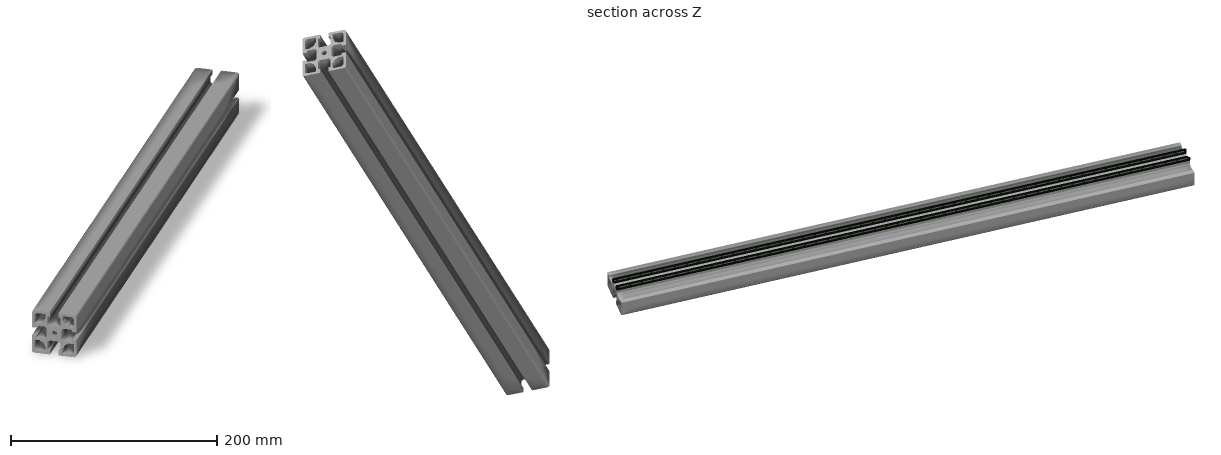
import cadquery as cq
import math

width = 45.0
length = 585.0
outer_corner_radius = 2.5

mouth_width = 8.7
lip_thickness = 4.6
channel_width = 13.1
core_width = 15.3
floor_chamfer = 1.6

skin_thickness = 2.5
channel_wall_thickness = 2.05
chamber_outer_radius = 3.4
neck_end = 14.0
chamber_inner_radius = 4.4

bore_diameter = 5.2
counterbore_diameter = 9.0
counterbore_depth = 1.0

side_count = 4
half_width = width / 2


def extrude_section(section):
    """Extrude an XZ section over the full length, centred on Y = 0."""
    return section.extrude(length / 2, both=True)


def make_bar():
    """Solid square bar with rounded long edges."""
    bar = extrude_section(cq.Workplane("XZ").rect(width, width))
    return bar.edges("|Y").fillet(outer_corner_radius)


def make_slot():
    """T-slot cutter opening towards +Z, with a chamfered channel floor."""
    lip_z = half_width - lip_thickness
    floor_z = core_width / 2
    mouth_x = mouth_width / 2
    channel_x = channel_width / 2
    right_side = [
        (mouth_x, half_width),
        (mouth_x, lip_z),
        (channel_x, lip_z),
        (channel_x, floor_z + floor_chamfer),
        (channel_x - floor_chamfer, floor_z),
    ]
    left_side = [(-x, z) for x, z in reversed(right_side)]
    return extrude_section(cq.Workplane("XZ").polyline(right_side + left_side).close())


def make_chamber():
    """Corner chamber in the +X +Z quadrant, symmetric about its diagonal."""
    outer = half_width - skin_thickness
    inner = channel_width / 2 + channel_wall_thickness
    arc_start = neck_end - chamber_inner_radius
    arc_middle = neck_end - chamber_inner_radius * math.sqrt(0.5)
    outer_arc_start = outer - chamber_outer_radius
    outer_arc_middle = outer_arc_start + chamber_outer_radius * math.sqrt(0.5)
    outline = (
        cq.Workplane("XZ")
        .moveTo(neck_end, inner)
        .lineTo(outer, inner)
        .lineTo(outer, outer_arc_start)
        .threePointArc((outer_arc_middle, outer_arc_middle), (outer_arc_start, outer))
        .lineTo(inner, outer)
        .lineTo(inner, neck_end)
        .lineTo(arc_start, neck_end)
        .threePointArc((arc_middle, arc_middle), (neck_end, arc_start))
        .close()
    )
    return extrude_section(outline)


def make_bore():
    """Through bore with a shallow counterbore at the -Y end."""
    bore = extrude_section(cq.Workplane("XZ").circle(bore_diameter / 2))
    front_face = cq.Workplane("XZ", origin=(0, -length / 2, 0))
    counterbore = front_face.circle(counterbore_diameter / 2).extrude(-counterbore_depth)
    return bore.union(counterbore)


profile = make_bar().cut(make_bore())
slot = make_slot()
chamber = make_chamber()
for side in range(side_count):
    angle = side * 360 / side_count
    for cutter in (slot, chamber):
        profile = profile.cut(cutter.rotate((0, 0, 0), (0, 1, 0), angle))

result = profile